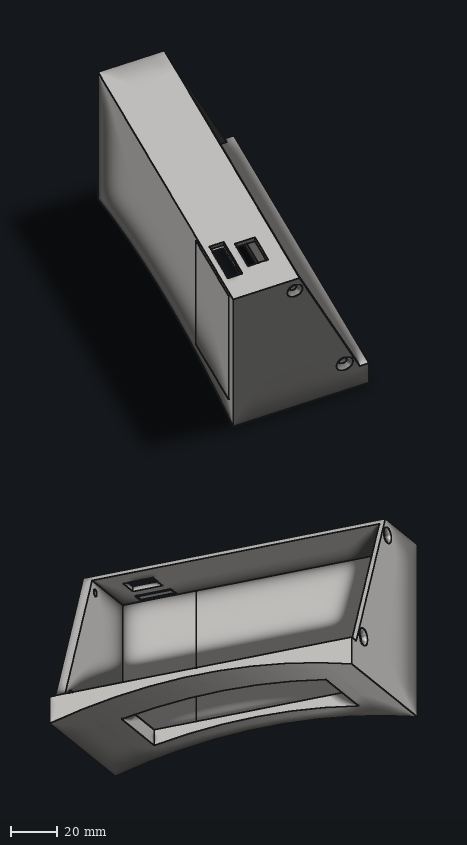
import cadquery as cq
import math

length = 145.2
depth = 64.0
height = 81.13

ledge_height = 12.6
slope_foot_y = 59.55
roof_depth = 31.25

left_wall = 2.4
right_wall = 4.8
front_wall = 2.4
roof_thickness = 2.5
saddle_radius = 290.0

floor_window_x = (22.4, 120.6)
floor_window_y = (12.0, 43.7)

panel_width = 35.2
panel_right = length - right_wall
panel_left = panel_right - panel_width
panel_bottom = ledge_height
panel_top = height - roof_thickness

opening_x = (panel_left + panel_right) / 2
switch_length = 14.2
switch_width = 9.4
switch_y = 18.5
socket_recess_length = 20.0
socket_recess_width = 6.7
socket_recess_y = 6.45
socket_recess_depth = 2.0
socket_length = 17.0
socket_width = 5.35
socket_y = 6.2

upper_screw = (29.1, 74.0, 3.1, 7.2)
lower_screw = (52.5, 17.2, 3.6, 7.8)
countersink_angle = 90.0


def box_between(x_range, y_range, z_range):
    """Axis-aligned box spanning the given ranges."""
    size = [end - start for start, end in (x_range, y_range, z_range)]
    corner = (x_range[0], y_range[0], z_range[0])
    return cq.Workplane("XY").box(*size, centered=False).translate(corner)


def make_outer_block():
    """Side profile swept along X."""
    profile = [
        (0, 0),
        (depth, 0),
        (depth, ledge_height),
        (slope_foot_y, ledge_height),
        (roof_depth, height),
        (0, height),
    ]
    return cq.Workplane("YZ").polyline(profile).close().extrude(length)


def make_cavity():
    """Hollow between the walls, running out through the sloped back."""
    return box_between(
        (left_wall, length - right_wall),
        (front_wall, depth),
        (ledge_height, height - roof_thickness),
    )


def make_saddle():
    """Cylinder along Y that arches the underside between its two bottom corners."""
    half_length = length / 2
    axis_z = -math.sqrt(saddle_radius**2 - half_length**2)
    sagitta = saddle_radius + axis_z
    return (
        cq.Workplane("XZ")
        .moveTo(0, 0)
        .threePointArc((half_length, sagitta), (length, 0))
        .close()
        .extrude(-depth)
    )


def make_floor_window():
    return box_between(floor_window_x, floor_window_y, (0, ledge_height))


def make_roof_cutter(size_x, size_y, center_y, cut_depth):
    """Rectangular cut downwards from the roof."""
    return (
        cq.Workplane("XY", origin=(opening_x, center_y, height))
        .rect(size_x, size_y)
        .extrude(-cut_depth)
    )


def make_screw_hole(y, z, hole_diameter, head_diameter):
    """Hole through both end walls with a countersink on each outer side."""
    hole_radius = hole_diameter / 2
    head_radius = head_diameter / 2
    sink_depth = (head_radius - hole_radius) / math.tan(math.radians(countersink_angle / 2))
    half_section = [
        (0, 0),
        (0, head_radius),
        (sink_depth, hole_radius),
        (length - sink_depth, hole_radius),
        (length, head_radius),
        (length, 0),
    ]
    hole = cq.Workplane("XY").polyline(half_section).close().revolve(360, (0, 0, 0), (1, 0, 0))
    return hole.translate((0, y, z))


def make_front_panel():
    """Flush cover plate filling the opening in the front wall."""
    return box_between(
        (panel_left, panel_right),
        (0, front_wall),
        (panel_bottom, panel_top),
    )


def make_housing():
    housing = make_outer_block().cut(make_cavity()).cut(make_saddle()).cut(make_floor_window())
    housing = housing.cut(make_roof_cutter(switch_length, switch_width, switch_y, roof_thickness))
    housing = housing.cut(
        make_roof_cutter(socket_recess_length, socket_recess_width, socket_recess_y, socket_recess_depth)
    )
    housing = housing.cut(make_roof_cutter(socket_length, socket_width, socket_y, roof_thickness))
    for screw in (upper_screw, lower_screw):
        housing = housing.cut(make_screw_hole(*screw))
    return housing.cut(make_front_panel())


housing = make_housing()
front_panel = make_front_panel()

result = cq.Compound.makeCompound([housing.val(), front_panel.val()])